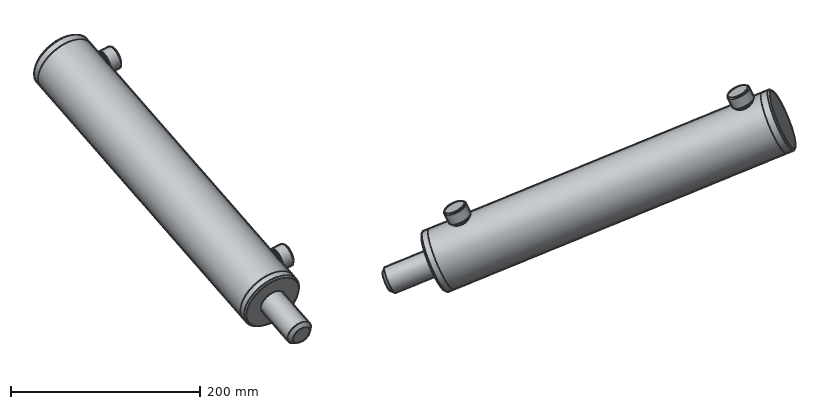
import cadquery as cq

overall_length = 460.0
body_diameter = 70.0
base_cap_length = 9.5
gland_start = 396.0
gland_end = 405.0
end_chamfer = 2.0

rod_diameter = 30.0
rod_chamfer = 4.0

port_centers_x = [29.5, 358.5]
port_diameter = 25.8
port_top_y = 50.0
port_chamfer = 1.5
port_shoulder_y = 35.0


def x_cylinder(start, end, diameter):
    """Solid cylinder on the main axis between two X positions."""
    return cq.Workplane("YZ", origin=(start, 0, 0)).circle(diameter / 2).extrude(end - start)


def make_barrel():
    return x_cylinder(base_cap_length, gland_start, body_diameter)


def make_base_cap():
    cap = x_cylinder(0, base_cap_length, body_diameter)
    return cap.faces("<X").chamfer(end_chamfer)


def make_gland():
    """Front ring that the rod passes through."""
    gland = x_cylinder(gland_start, gland_end, body_diameter)
    gland = gland.faces(">X").chamfer(end_chamfer)
    return gland.cut(x_cylinder(gland_start, gland_end, rod_diameter)).solids()


def make_rod():
    """Rod that starts at the barrel's front face and ends in a chamfered tip."""
    rod = x_cylinder(gland_start, overall_length, rod_diameter)
    return rod.faces(">X").chamfer(rod_chamfer)


def make_port(center_x):
    """Chamfered round boss on a narrower neck, seated on the barrel's curved side."""
    boss = (
        cq.Workplane("XZ", origin=(center_x, port_top_y, 0))
        .circle(port_diameter / 2)
        .extrude(port_top_y - port_shoulder_y)
        .faces("<Y or >Y")
        .chamfer(port_chamfer)
    )
    neck = (
        cq.Workplane("XZ", origin=(center_x, port_shoulder_y, 0))
        .circle(port_diameter / 2 - port_chamfer)
        .extrude(port_shoulder_y)
    )
    port = boss.union(neck).cut(x_cylinder(0, overall_length, body_diameter))
    return port.solids()


barrel = make_barrel()
base_cap = make_base_cap()
gland = make_gland()
rod = make_rod()
ports = [make_port(center_x) for center_x in port_centers_x]

result = cq.Compound.makeCompound(
    [barrel.val(), base_cap.val(), gland.val(), rod.val(), *[port.val() for port in ports]]
)